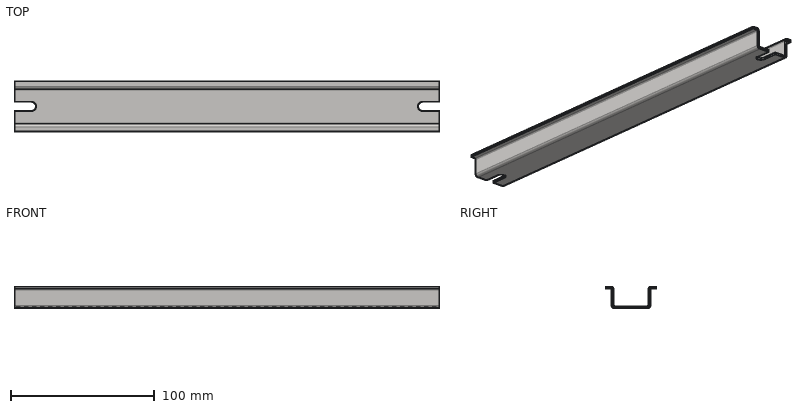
import cadquery as cq

length = 295.0
width = 35.0
height = 15.0

thickness = 1.5
channel_width = 27.0
inner_radius = 0.5
outer_radius = inner_radius + thickness

slot_width = 6.2
slot_depth = 14.8


def box(size_x, size_y, size_z, bottom_z):
    """Box centred on X and Y, standing on bottom_z."""
    return (
        cq.Workplane("XY")
        .workplane(offset=bottom_z)
        .box(size_x, size_y, size_z, centered=(True, True, False))
    )


def round_bend(rail, half_width, z, radius):
    """Round the pair of lengthwise edges at Y = +/- half_width and height z."""
    margin = thickness / 4
    for y in (-half_width, half_width):
        around_edge = cq.selectors.BoxSelector(
            (-length, y - margin, z - margin),
            (length, y + margin, z + margin),
        )
        rail = rail.edges("|X").edges(around_edge).fillet(radius)
    return rail


def make_rail():
    """Top hat section with rounded bends, running along X."""
    inner_width = channel_width - 2 * thickness
    channel = box(length, channel_width, height, 0)
    flanges = box(length, width, thickness, height - thickness)
    cavity = box(length, inner_width, height, thickness)
    rail = channel.union(flanges).cut(cavity)

    rail = round_bend(rail, channel_width / 2, 0, outer_radius)
    rail = round_bend(rail, inner_width / 2, thickness, inner_radius)

    rail = round_bend(rail, inner_width / 2, height, outer_radius)
    rail = round_bend(rail, channel_width / 2, height - thickness, inner_radius)
    return rail


def make_end_slots():
    """Cutters for the two slots, each with a full round at its closed end."""
    return (
        cq.Workplane("XY")
        .pushPoints([(-length / 2, 0), (length / 2, 0)])
        .slot2D(2 * slot_depth, slot_width)
        .extrude(thickness)
    )


result = make_rail().cut(make_end_slots())